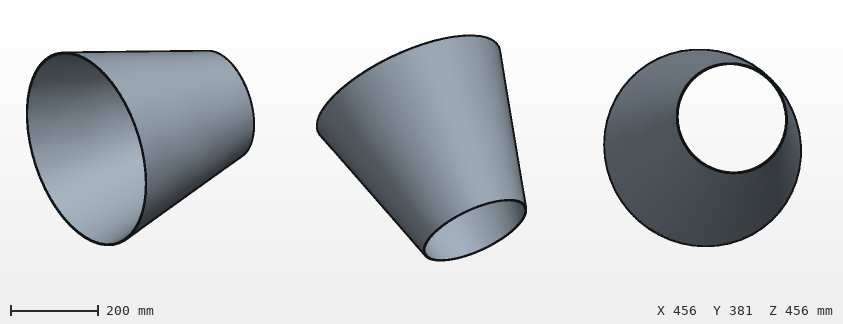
import cadquery as cq

length = 381.0
large_diameter = 456.0
small_diameter = 256.0
wall = 3.0

large_radius = large_diameter / 2
small_radius = small_diameter / 2

wall_section = [
    (large_radius - wall, 0),
    (large_radius, 0),
    (small_radius, length),
    (small_radius - wall, length),
]

result = cq.Workplane("XY").polyline(wall_section).close().revolve(360, (0, 0, 0), (0, 1, 0))